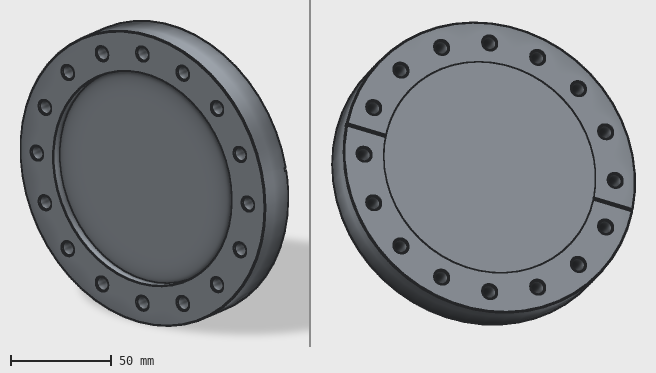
import cadquery as cq

outer_diameter = 151.6
thickness = 19.9
rim_chamfer = 0.5
bore_diameter = 110.0
bore_chamfer = 0.3

disc_recess = 5.3

bolt_count = 16
bolt_circle_diameter = 130.4
bolt_hole_diameter = 6.8
countersink_diameter = 8.0

bolt_pitch_angle = 360 / bolt_count
groove_width = 1.4
groove_depth = 1.5
groove_angles = (bolt_pitch_angle / 2, 180 + bolt_pitch_angle / 2)

outer_radius = outer_diameter / 2
bolt_circle_radius = bolt_circle_diameter / 2
open_face_y = -thickness / 2
mating_face_y = thickness / 2


def cylinder_along_y(diameter, length, start_y):
    """Cylinder on the Y axis that runs from start_y toward +Y."""
    return cq.Workplane("XZ").workplane(offset=-start_y).circle(diameter / 2).extrude(-length)


def make_bolt_hole():
    """Cutter for one bolt hole on the Y axis, countersunk at both faces."""
    hole_radius = bolt_hole_diameter / 2
    sink_radius = countersink_diameter / 2
    sink_depth = sink_radius - hole_radius
    return (
        cq.Workplane("XY")
        .moveTo(0, open_face_y)
        .lineTo(sink_radius, open_face_y)
        .lineTo(hole_radius, open_face_y + sink_depth)
        .lineTo(hole_radius, mating_face_y - sink_depth)
        .lineTo(sink_radius, mating_face_y)
        .lineTo(0, mating_face_y)
        .close()
        .revolve(360, (0, 0, 0), (0, 1, 0))
    )


def make_leak_groove(angle):
    """Cutter for one groove in the mating face, from the ring axis out to the rim."""
    groove = cq.Workplane("XY").box(outer_radius, groove_depth, groove_width, centered=(False, False, True))
    groove = groove.translate((0, mating_face_y - groove_depth, 0))
    return groove.rotate((0, 0, 0), (0, -1, 0), angle)


def make_ring():
    """Ring with chamfered rim and bore, bolt holes and leak-check grooves."""
    ring = cylinder_along_y(outer_diameter, thickness, open_face_y)
    ring = ring.faces("<Y or >Y").edges().chamfer(rim_chamfer)
    ring = ring.cut(cylinder_along_y(bore_diameter, thickness, open_face_y))
    ring = ring.faces("<Y").edges(cq.selectors.RadiusNthSelector(0)).chamfer(bore_chamfer)

    bolt_hole = make_bolt_hole().translate((bolt_circle_radius, 0, 0))
    for i in range(bolt_count):
        ring = ring.cut(bolt_hole.rotate((0, 0, 0), (0, 1, 0), i * bolt_pitch_angle))

    for angle in groove_angles:
        ring = ring.cut(make_leak_groove(angle))
    return ring.solids()


def make_disc():
    """Plain disc that fills the bore behind the recess."""
    return cylinder_along_y(bore_diameter, thickness - disc_recess, open_face_y + disc_recess)


ring = make_ring()
disc = make_disc()

result = cq.Compound.makeCompound([ring.val(), disc.val()])